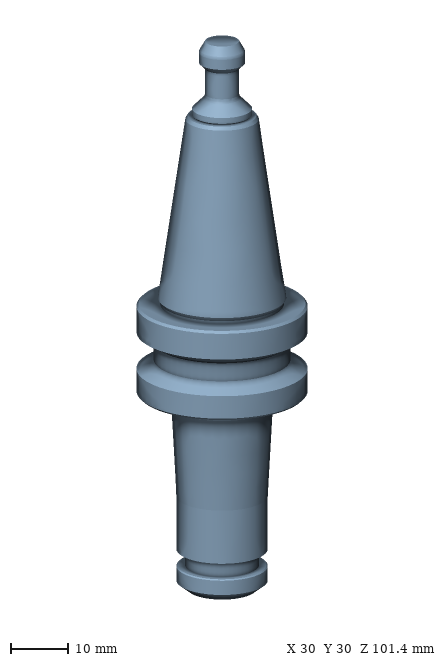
import cadquery as cq
import math


total_length = 101.4
stud_neck_diameter = 6.0
stud_head_diameter = 8.1
stud_head_underside = 97.4
stud_head_top_angle = 30.0
stud_collar_diameter = 10.5
stud_collar_top = 88.9
stud_collar_chamfer = 0.25
stud_blend_radius = 1.0

taper_top = 87.6
taper_top_chamfer_drop = 0.6
taper_top_chamfer_width = 0.4
taper_small_diameter = 12.9
taper_ratio = 7 / 24
taper_bottom = 53.9
taper_relief_diameter = 21.7
taper_relief_drop = 0.7

flange_diameter = 30.0
flange_top = 52.7
flange_bottom = 36.2
flange_chamfer = 0.4
groove_diameter = 24.0
groove_upper_rim = 47.6
groove_lower_rim = 40.8
groove_wall_angle = 30.0

shank_relief_diameter = 17.4
shank_relief_fillet = 0.9
shank_relief_rise = 0.9
shank_top_diameter = 17.8
shank_taper_top = 34.1
shank_diameter = 16.0
shank_taper_bottom = 17.1
shank_bottom = 7.3

end_neck_diameter = 13.0
end_disc_top = 4.4
end_disc_top_chamfer = 0.2
end_face_diameter = 12.2
end_chamfer_height = 1.5


def revolved(outline):
    """Turn (diameter, height) points, listed from top to bottom, into a solid on the Z axis."""
    top = outline[0][1]
    bottom = outline[-1][1]
    points = [(diameter / 2, height) for diameter, height in outline]
    profile = cq.Workplane("XZ").polyline([(0, top)] + points + [(0, bottom)]).close()
    return profile.revolve(360, (0, 0, 0), (0, 1, 0))


def fillet_circle(body, diameter, height, radius):
    """Blend the circular edge that has this diameter and height."""
    reach = 0.05
    edge = cq.selectors.BoxSelector(
        (-diameter, -diameter, height - reach),
        (diameter, diameter, height + reach),
    )
    size = cq.selectors.RadiusNthSelector(0)
    return body.edges(edge).edges("%CIRCLE").edges(size).fillet(radius)


def pull_stud():
    head_overhang = (stud_head_diameter - stud_neck_diameter) / 2
    head_shoulder = total_length - head_overhang / math.tan(math.radians(stud_head_top_angle))
    neck_bottom = stud_collar_top + (stud_collar_diameter - stud_neck_diameter) / 2
    stud = revolved([
        (stud_neck_diameter, total_length),
        (stud_head_diameter, head_shoulder),
        (stud_head_diameter, stud_head_underside),
        (stud_neck_diameter, stud_head_underside - head_overhang),
        (stud_neck_diameter, neck_bottom),
        (stud_collar_diameter, stud_collar_top),
        (stud_collar_diameter, taper_top + stud_collar_chamfer),
        (stud_collar_diameter - 2 * stud_collar_chamfer, taper_top),
    ])
    stud = fillet_circle(stud, stud_head_diameter, head_shoulder, stud_blend_radius)
    return fillet_circle(stud, stud_neck_diameter, neck_bottom, stud_blend_radius)


def taper():
    cone_top = taper_top - taper_top_chamfer_drop
    large_diameter = taper_small_diameter + taper_ratio * (cone_top - taper_bottom)
    return revolved([
        (taper_small_diameter - 2 * taper_top_chamfer_width, taper_top),
        (taper_small_diameter, cone_top),
        (large_diameter, taper_bottom),
        (taper_relief_diameter, taper_bottom - taper_relief_drop),
        (taper_relief_diameter, flange_top),
    ])


def flange():
    groove_depth = (flange_diameter - groove_diameter) / 2
    wall_height = groove_depth * math.tan(math.radians(groove_wall_angle))
    face_diameter = flange_diameter - 2 * flange_chamfer
    return revolved([
        (face_diameter, flange_top),
        (flange_diameter, flange_top - flange_chamfer),
        (flange_diameter, groove_upper_rim),
        (groove_diameter, groove_upper_rim - wall_height),
        (groove_diameter, groove_lower_rim + wall_height),
        (flange_diameter, groove_lower_rim),
        (flange_diameter, flange_bottom + flange_chamfer),
        (face_diameter, flange_bottom),
    ])


def shank():
    return revolved([
        (shank_relief_diameter, flange_bottom),
        (shank_relief_diameter, shank_taper_top + shank_relief_rise),
        (shank_top_diameter, shank_taper_top),
        (shank_diameter, shank_taper_bottom),
        (shank_diameter, shank_bottom),
        (end_neck_diameter, shank_bottom),
        (end_neck_diameter, end_disc_top),
        (shank_diameter - 2 * end_disc_top_chamfer, end_disc_top),
        (shank_diameter, end_disc_top - end_disc_top_chamfer),
        (shank_diameter, end_chamfer_height),
        (end_face_diameter, 0),
    ])


result = pull_stud().union(taper()).union(flange()).union(shank())

result = fillet_circle(result, shank_relief_diameter, flange_bottom, shank_relief_fillet)